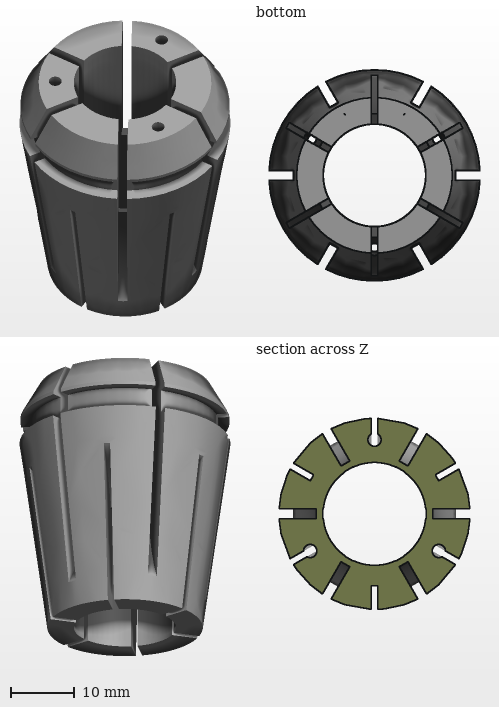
import cadquery as cq
import math

total_height = 40.0
bore_radius = 8.0

taper_angle = 8.0
taper_top_radius = 16.5
taper_height = 30.9
taper_bottom_radius = taper_top_radius - taper_height * math.tan(math.radians(taper_angle))

groove_radius = 14.65
groove_top = 34.5
lip_top = 35.05
head_angle = 30.0
head_top_radius = 13.5
lip_radius = head_top_radius + (total_height - lip_top) * math.tan(math.radians(head_angle))

slots_per_end = 6
slot_spacing = 360.0 / slots_per_end
slot_crest_slope = 17.0
slot_reach = taper_top_radius + 1.0

top_slot_width = 1.5
top_slot_first_angle = 0.0
top_floor_outer_z = 4.0
top_floor_inner_z = 20.35
top_floor_arc_radius = 25.0
top_floor_arc_center_r = 33.95
top_floor_arc_center_z = 17.2

bottom_slot_width = 1.0
bottom_slot_first_angle = slot_spacing / 2
bottom_roof_outer_z = 24.95
bottom_roof_inner_z = 16.35
bottom_roof_inner_radius = 9.65
bottom_roof_arc_radius = 17.7

hole_count = 3
hole_diameter = 2.0
hole_circle_radius = 10.9
hole_depth = 23.0
hole_tilt = 2.0
hole_first_angle = 90.0
hole_overrun = 1.0


def taper_radius(z):
    return taper_bottom_radius + z * math.tan(math.radians(taper_angle))


def make_body():
    outline = [
        (bore_radius, 0),
        (taper_bottom_radius, 0),
        (taper_top_radius, taper_height),
        (groove_radius, taper_height),
        (groove_radius, groove_top),
        (lip_radius, groove_top),
        (lip_radius, lip_top),
        (head_top_radius, total_height),
        (bore_radius, total_height),
    ]
    profile = cq.Workplane("XZ").polyline(outline).close()
    return profile.revolve(360, (0, 0, 0), (0, 1, 0))


def top_floor_radius(z):
    rise = z - top_floor_arc_center_z
    return top_floor_arc_center_r - math.sqrt(top_floor_arc_radius**2 - rise**2)


def make_top_slot():
    outer = (top_floor_radius(top_floor_outer_z), top_floor_outer_z)
    middle_z = (top_floor_outer_z + top_floor_inner_z) / 2
    middle = (top_floor_radius(middle_z), middle_z)
    crest = (top_floor_radius(top_floor_inner_z), top_floor_inner_z)
    drop_to_axis = crest[0] * math.tan(math.radians(slot_crest_slope))
    return (
        cq.Workplane("XZ")
        .moveTo(slot_reach, top_floor_outer_z)
        .lineTo(*outer)
        .threePointArc(middle, crest)
        .lineTo(0, top_floor_inner_z - drop_to_axis)
        .lineTo(0, total_height)
        .lineTo(slot_reach, total_height)
        .close()
        .extrude(top_slot_width / 2, both=True)
    )


def make_bottom_slot():
    outer = (taper_radius(bottom_roof_outer_z), bottom_roof_outer_z)
    crest = (bottom_roof_inner_radius, bottom_roof_inner_z)
    rise_to_axis = crest[0] * math.tan(math.radians(slot_crest_slope))
    return (
        cq.Workplane("XZ")
        .moveTo(0, 0)
        .lineTo(0, bottom_roof_inner_z + rise_to_axis)
        .lineTo(*crest)
        .radiusArc(outer, bottom_roof_arc_radius)
        .lineTo(slot_reach, bottom_roof_outer_z)
        .lineTo(slot_reach, 0)
        .close()
        .extrude(bottom_slot_width / 2, both=True)
    )


def make_hole():
    hole = (
        cq.Workplane("XY")
        .workplane(offset=-hole_depth)
        .circle(hole_diameter / 2)
        .extrude(hole_depth + hole_overrun)
    )
    return hole.rotate((0, 0, 0), (0, 1, 0), -hole_tilt).translate((hole_circle_radius, 0, total_height))


def cut_around(body, cutter, count, first_angle):
    for index in range(count):
        angle = first_angle + index * 360.0 / count
        body = body.cut(cutter.rotate((0, 0, 0), (0, 0, 1), angle))
    return body


result = make_body()
result = cut_around(result, make_top_slot(), slots_per_end, top_slot_first_angle)
result = cut_around(result, make_bottom_slot(), slots_per_end, bottom_slot_first_angle)
result = cut_around(result, make_hole(), hole_count, hole_first_angle)